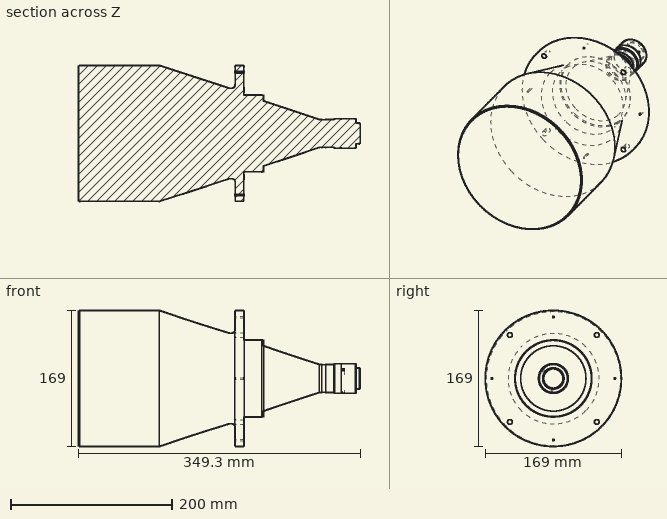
import cadquery as cq
import math

length = 349.3
barrel_end = 100.2
neck_start = 187.2
flange_start = 194.0
flange_end = 205.5
collar_end = 229.5
small_cone_end = 298.5
groove_start = 301.5
groove_end = 306.7
tail_end = 316.0
sleeve_start = 317.5
sleeve_seam = 325.5
sleeve_end = 344.0

barrel_radius = 84.5
neck_radius = 56.2
flange_radius = barrel_radius
collar_radius = 48.0
small_cone_radius = 40.5
tail_radius = 17.5
sleeve_radius = 18.5
tip_radius = 13.3

barrel_chamfer = 1.5
neck_fillet = 4.2
flange_fillet = 2.0
collar_chamfer = 2.0
collar_chamfer_depth = 0.7
sleeve_chamfer = 1.0
tip_chamfer = 1.5
groove_depth = 0.5
seam_width = 0.5
seam_depth = 0.5

hole_circle_radius = 76.0
bolt_hole_diameter = 6.0
pin_hole_diameter = 1.7
bolt_start_angle = 45
pin_start_angle = 0
flange_hole_count = 4

screw_x = 328.5
screw_diameter = 2.5
screw_depth = 3.5
screw_start_angle = 23
screw_count = 3


def turned_body():
    """Revolve the stepped half-profile about the X axis."""
    arc_offset = neck_fillet * math.sqrt(0.5)
    fillet_start = flange_start - neck_fillet
    fillet_top = neck_radius + neck_fillet
    profile = (
        cq.Workplane("XY")
        .lineTo(0, barrel_radius - barrel_chamfer)
        .lineTo(barrel_chamfer, barrel_radius)
        .lineTo(barrel_end, barrel_radius)
        .lineTo(neck_start, neck_radius)
        .lineTo(fillet_start, neck_radius)
        .threePointArc(
            (fillet_start + arc_offset, fillet_top - arc_offset),
            (flange_start, fillet_top),
        )
        .lineTo(flange_start, collar_radius)
        .lineTo(collar_end - collar_chamfer, collar_radius)
        .lineTo(collar_end, collar_radius - collar_chamfer_depth)
        .lineTo(collar_end, small_cone_radius)
        .lineTo(small_cone_end, tail_radius)
        .lineTo(tail_end, tail_radius)
        .lineTo(sleeve_start, sleeve_radius)
        .lineTo(sleeve_end - sleeve_chamfer, sleeve_radius)
        .lineTo(sleeve_end, sleeve_radius - sleeve_chamfer)
        .lineTo(sleeve_end, tip_radius)
        .lineTo(length - tip_chamfer, tip_radius)
        .lineTo(length, tip_radius - tip_chamfer)
        .lineTo(length, 0)
        .close()
    )
    return profile.revolve(360, (0, 0, 0), (1, 0, 0))


def flange():
    """Round mounting disc with rounded rims."""
    disc = cq.Workplane("YZ", origin=(flange_start, 0, 0)).circle(flange_radius)
    return disc.extrude(flange_end - flange_start).edges().fillet(flange_fillet)


def ring_groove(start, end, surface_radius, depth):
    """Ring to cut from a cylindrical surface."""
    ring = cq.Workplane("YZ", origin=(start, 0, 0))
    return ring.circle(surface_radius + depth).circle(surface_radius - depth).extrude(end - start)


def flange_holes(diameter, start_angle):
    """Ring of drills passing through the flange."""
    return (
        cq.Workplane("YZ", origin=(flange_start, 0, 0))
        .polarArray(hole_circle_radius, start_angle, 360, flange_hole_count)
        .circle(diameter / 2)
        .extrude(flange_end - flange_start)
    )


def screw_hole(angle):
    """Blind radial drill; the angle is measured from +Y towards +Z."""
    direction = cq.Vector(0, math.cos(math.radians(angle)), math.sin(math.radians(angle)))
    bottom = direction * (sleeve_radius - screw_depth) + cq.Vector(screw_x, 0, 0)
    return cq.Solid.makeCylinder(screw_diameter / 2, 2 * screw_depth, bottom, direction)


result = turned_body().union(flange())
result = result.cut(ring_groove(groove_start, groove_end, tail_radius, groove_depth))
result = result.cut(ring_groove(sleeve_seam, sleeve_seam + seam_width, sleeve_radius, seam_depth))
result = result.cut(flange_holes(bolt_hole_diameter, bolt_start_angle))
result = result.cut(flange_holes(pin_hole_diameter, pin_start_angle))
for index in range(screw_count):
    result = result.cut(screw_hole(screw_start_angle + index * 360 / screw_count))